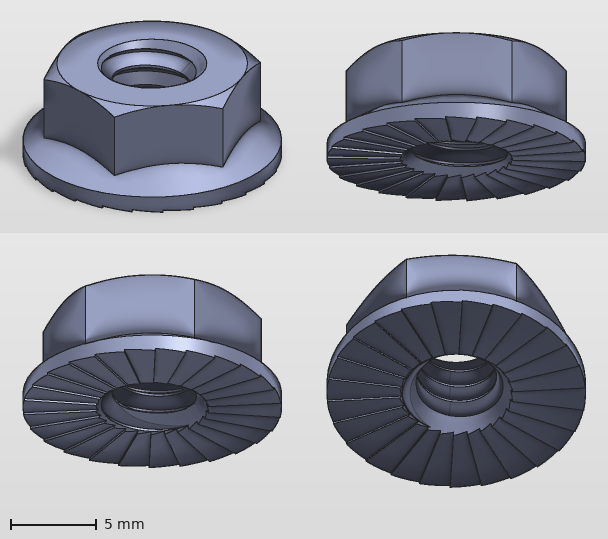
import cadquery as cq
import math

height = 5.95
flange_diameter = 15.08
flange_rim_height = 1.01
across_flats = 11.11
cone_angle = 30.0

thread_pitch = 1.27
thread_major_diameter = 6.33
thread_half_angle = 30.0
groove_angle_at_base = 65.0
bore_overlap = 0.15

countersink_diameter = 6.36

tooth_count = 26
tooth_depth = 0.14
first_tooth_angle = 4.2
cutter_margin = 0.75

flange_radius = flange_diameter / 2
hex_inner_radius = across_flats / 2
hex_corner_radius = hex_inner_radius / math.cos(math.pi / 6)
cone_slope = math.tan(math.radians(cone_angle))

thread_flat = thread_pitch / 8
root_half_width = thread_flat / 2
mouth_half_width = (thread_pitch - thread_flat) / 2
thread_depth = (mouth_half_width - root_half_width) / math.tan(math.radians(thread_half_angle))
major_radius = thread_major_diameter / 2
minor_radius = major_radius - thread_depth
countersink_radius = countersink_diameter / 2


def revolve_profile(points):
    """Solid of revolution about Z from (radius, height) points."""
    return cq.Workplane("XZ").polyline(points).close().revolve(360, (0, 0), (0, 1))


def make_flange():
    """Round flange whose conical top ends in a flat shoulder hidden inside the hexagon."""
    shoulder_radius = hex_inner_radius - cutter_margin
    shoulder_height = flange_rim_height + (flange_radius - shoulder_radius) * cone_slope
    return revolve_profile([
        (0, 0),
        (flange_radius, 0),
        (flange_radius, flange_rim_height),
        (shoulder_radius, shoulder_height),
        (0, shoulder_height),
    ])


def make_hexagon():
    """Hexagon with corners on the Y axis, its top corners turned to a cone."""
    prism = (
        cq.Workplane("XY")
        .polygon(6, 2 * hex_corner_radius)
        .extrude(height)
        .rotate((0, 0, 0), (0, 0, 1), 90)
    )
    envelope = revolve_profile([
        (0, 0),
        (flange_radius, 0),
        (flange_radius, height - (flange_radius - hex_inner_radius) * cone_slope),
        (hex_inner_radius, height),
        (0, height),
    ])
    return prism.intersect(envelope)


def make_bore():
    """Through hole at the thread's minor diameter, countersunk at both ends.

    The lower cone has its full diameter at the tooth roots, so the thread ends clear of the teeth.
    """
    chamfer = countersink_radius - minor_radius
    return revolve_profile([
        (0, 0),
        (countersink_radius + tooth_depth, 0),
        (minor_radius, chamfer + tooth_depth),
        (minor_radius, height - chamfer),
        (countersink_radius, height),
        (0, height),
    ])


def make_groove_turn():
    """One right-hand turn of the thread groove, starting at Z = 0."""
    inner_radius = minor_radius - bore_overlap
    section = [
        (inner_radius, -mouth_half_width),
        (minor_radius, -mouth_half_width),
        (major_radius, -root_half_width),
        (major_radius, root_half_width),
        (minor_radius, mouth_half_width),
        (inner_radius, mouth_half_width),
    ]
    edges = [
        cq.Wire.makeHelix(thread_pitch, thread_pitch, radius).translate(cq.Vector(0, 0, z))
        for radius, z in section
    ]
    faces = [cq.Face.makeRuledSurface(edges[i - 1], edges[i]) for i in range(len(edges))]
    for end in (0, thread_pitch):
        corners = [cq.Vector(radius, 0, z + end) for radius, z in section]
        faces.append(cq.Face.makeFromWires(cq.Wire.makePolygon(corners, close=True)))
    turn = cq.Workplane(obj=cq.Solid.makeSolid(cq.Shell.makeShell(faces)))
    return turn.rotate((0, 0, 0), (0, 0, 1), groove_angle_at_base)


def cut_thread(body):
    """Cut the thread turn by turn, from below the bearing face to above the top."""
    turn = make_groove_turn()
    for index in range(-1, math.ceil(height / thread_pitch) + 1):
        body = body.cut(turn.translate((0, 0, index * thread_pitch)))
    return body


def make_tooth_cutter():
    """Wedge along +X: a vertical radial wall on its clockwise side, then a ramp down to Z = 0."""
    def section(radius):
        half_width = radius * math.tan(math.pi / tooth_count)
        return cq.Wire.makePolygon([
            cq.Vector(radius, -half_width, -cutter_margin),
            cq.Vector(radius, -half_width, tooth_depth),
            cq.Vector(radius, half_width, 0),
            cq.Vector(radius, half_width, -cutter_margin),
        ], close=True)

    inner = section(minor_radius - cutter_margin)
    outer = section(flange_radius + cutter_margin)
    return cq.Solid.makeLoft([inner, outer], True)


def cut_serrations(body):
    """Cut the ring of radial sawtooth grooves into the bearing face."""
    tooth_pitch = 360 / tooth_count
    cutter = make_tooth_cutter()
    for index in range(tooth_count):
        middle_angle = first_tooth_angle + (index + 0.5) * tooth_pitch
        groove = cutter.rotate(cq.Vector(0, 0, 0), cq.Vector(0, 0, 1), middle_angle)
        body = body.cut(cq.Workplane(obj=groove))
    return body


blank = make_flange().union(make_hexagon()).cut(make_bore())
result = cut_thread(cut_serrations(blank))